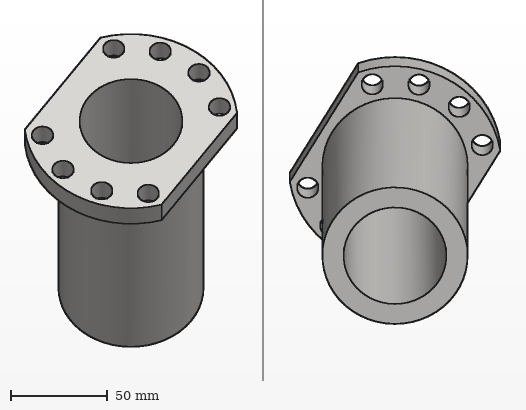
import cadquery as cq
import math

FLANGE_DIAMETER = 110.0
FLANGE_WIDTH = 85.0
FLANGE_THICKNESS = 14.0

TOTAL_LENGTH = 149.0
BODY_DIAMETER = 75.0
BORE_DIAMETER = 53.0

BOLT_CIRCLE_DIAMETER = 93.0
HOLE_DIAMETER = 11.0
HOLE_ANGLES_FROM_Y = (-45.0, -15.0, 15.0, 45.0)
Y_DIRECTION_ANGLES = (90.0, 270.0)

BODY_LENGTH = TOTAL_LENGTH - FLANGE_THICKNESS


def make_flange():
    """Disc on top of the body, trimmed to the width across its flats."""
    disc = cq.Workplane("XY").workplane(offset=BODY_LENGTH).circle(FLANGE_DIAMETER / 2)
    disc = disc.extrude(FLANGE_THICKNESS)
    trim = cq.Workplane("XY").box(FLANGE_WIDTH, FLANGE_DIAMETER, TOTAL_LENGTH, centered=(True, True, False))
    return disc.intersect(trim)


def make_body():
    """Solid cylinder from the bottom end up to the underside of the flange."""
    return cq.Workplane("XY").circle(BODY_DIAMETER / 2).extrude(BODY_LENGTH)


def make_bore():
    """Cutter for the bore running the full length."""
    return cq.Workplane("XY").circle(BORE_DIAMETER / 2).extrude(TOTAL_LENGTH)


def make_mounting_holes():
    """Cutters for the through holes in both rounded sides of the flange."""
    radius = BOLT_CIRCLE_DIAMETER / 2
    centres = []
    for side_angle in Y_DIRECTION_ANGLES:
        for offset_angle in HOLE_ANGLES_FROM_Y:
            angle = math.radians(side_angle + offset_angle)
            centres.append((radius * math.cos(angle), radius * math.sin(angle)))
    flange_underside = cq.Workplane("XY").workplane(offset=BODY_LENGTH)
    holes = flange_underside.pushPoints(centres).circle(HOLE_DIAMETER / 2)
    return holes.extrude(FLANGE_THICKNESS)


result = make_flange().union(make_body()).cut(make_bore()).cut(make_mounting_holes())